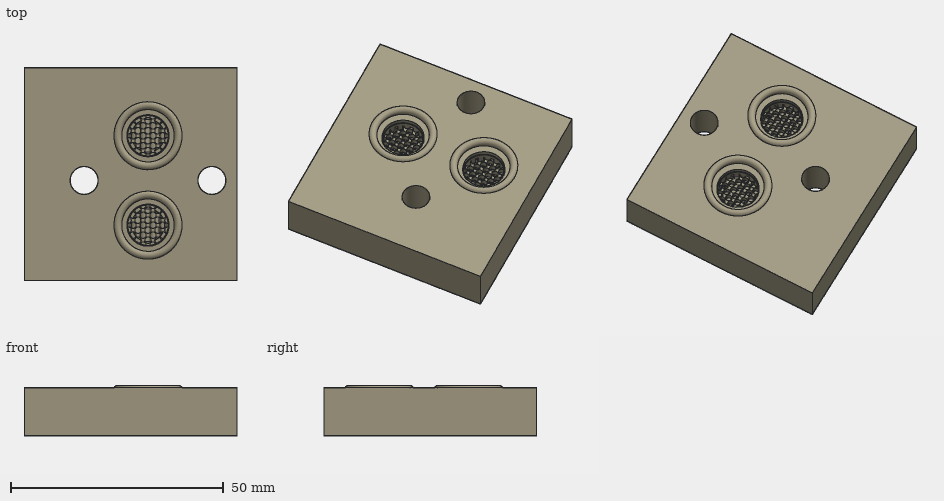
import cadquery as cq
import math

plate_side = 49.99
overall_height = 11.89
seal_proud = 0.53
plate_height = overall_height - seal_proud

pattern_x = 4.05
pattern_y = -1.5
port_spacing = 21.0
bolt_spacing = 30.0
bolt_hole_diameter = 6.5

seal_section = 1.95
seal_inner_diameter = 12.3
seal_mean_diameter = seal_inner_diameter + seal_section
recess_floor = overall_height - seal_section

bore_diameter = 9.9
bore_depth = 1.05

core_wall = 1.5
well_diameter = 9.5
well_depth = 1.05
screen_thickness = 1.5
perforation_diameter = 1.5
perforation_step = 1.17
perforation_rows = 4

throat_diameter = 7.7
throat_depth = 1.0
rib_pitch = 2.17
rib_count = 6
rib_offset = 0.4

core_top = recess_floor - bore_depth
core_width = bore_diameter + 2 * core_wall
screen_top = core_top - well_depth
screen_bottom = screen_top - screen_thickness
rib_crest = screen_bottom - throat_depth
rib_radius = rib_pitch / 2
rib_root = rib_crest - rib_radius
rib_half_span = rib_count * rib_pitch / 2
port_centers = [(pattern_x, pattern_y + side * port_spacing / 2) for side in (-1, 1)]
bolt_centers = [(pattern_x + side * bolt_spacing / 2, pattern_y) for side in (-1, 1)]


def cylinders(centers, diameter, bottom, top):
    """Upright cylinders between two heights."""
    base = cq.Workplane("XY", origin=(0, 0, bottom))
    return base.pushPoints(centers).circle(diameter / 2).extrude(top - bottom)


def core_envelope():
    """Obround block around both ports, from the underside of the plate to the core top."""
    base = cq.Workplane("XY", origin=(pattern_x, pattern_y, 0))
    return base.slot2D(port_spacing + core_width, core_width, 90).extrude(core_top)


def make_seals():
    """Round-section rings standing proud of the top face."""
    section_z = recess_floor + seal_section / 2
    section = cq.Workplane("XZ").center(seal_mean_diameter / 2, section_z).circle(seal_section / 2)
    ring = section.revolve(360, (-seal_mean_diameter / 2, 0), (-seal_mean_diameter / 2, 1))
    return [ring.translate((x, y, 0)) for x, y in port_centers]


def make_plate():
    """Plate with bolt holes, ports, the core pocket and the two sealing rings."""
    plate = cq.Workplane("XY").box(plate_side, plate_side, plate_height, centered=(True, True, False))
    plate = plate.cut(cylinders(bolt_centers, bolt_hole_diameter, 0, plate_height))
    plate = plate.cut(cylinders(port_centers, seal_mean_diameter, recess_floor, plate_height))
    plate = plate.cut(cylinders(port_centers, bore_diameter, core_top, recess_floor))
    plate = plate.cut(core_envelope())
    for seal in make_seals():
        plate = plate.union(seal)
    return plate


def perforations(port):
    """Staggered grid of screen holes, trimmed to the well."""
    reach = (well_diameter + perforation_diameter) / 2
    steps = range(-perforation_rows, perforation_rows + 1)
    centers = [
        (port[0] + i * perforation_step, port[1] + j * perforation_step)
        for i in steps
        for j in steps
        if (i + j) % 2 == 1 and math.hypot(i, j) * perforation_step < reach
    ]
    holes = cylinders(centers, perforation_diameter, screen_bottom, screen_top)
    return holes.intersect(cylinders([port], well_diameter, screen_bottom, screen_top))


def throats():
    """Throat cavities, with a row of half-round ribs along Y left on their floors."""
    length = port_spacing + throat_diameter
    ribs = cq.Workplane("XZ", origin=(pattern_x + rib_offset, pattern_y + length / 2, 0))
    ribs = ribs.moveTo(-rib_half_span, rib_root)
    for rib in range(rib_count):
        start = rib * rib_pitch - rib_half_span
        ribs = ribs.threePointArc((start + rib_radius, rib_crest), (start + rib_pitch, rib_root))
    ribs = ribs.close().extrude(length)
    return cylinders(port_centers, throat_diameter, rib_root, screen_bottom).cut(ribs)


def make_core():
    """Block with a well, a screen and a ribbed throat at each port."""
    core = core_envelope()
    core = core.cut(cylinders(port_centers, well_diameter, screen_top, core_top))
    core = core.cut(throats())
    for port in port_centers:
        core = core.cut(perforations(port))
    return core


plate = make_plate()
core = make_core()
result = cq.Compound.makeCompound([plate.val(), core.val()])